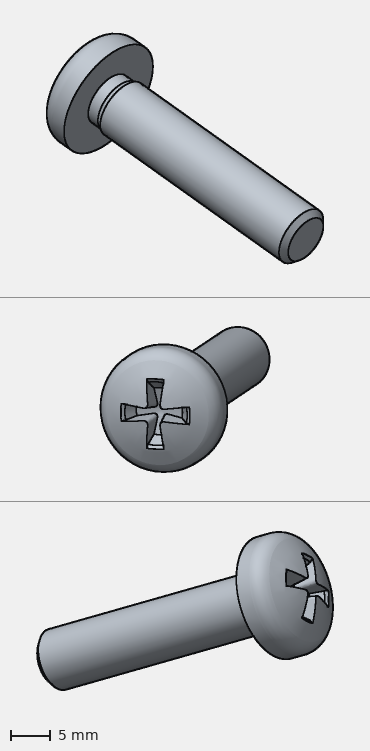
import cadquery as cq
import math

head_diameter = 16.0
head_height = 5.98
dome_radius = 13.5
shoulder_radius = 2.55
neck_diameter = 7.33
neck_length = 1.7
neck_cone_length = 0.75
shank_diameter = 8.0
tip_chamfer = 0.8
overall_length = 40.95

recess_reach = 4.5
recess_lip_radius = 4.1
recess_floor_radius = 3.03
recess_lip_depth = 1.05
recess_floor_depth = 2.65
recess_center_depth = 3.48
arm_tip_half_width = 1.23
arm_root_half_width = 0.75
arm_corner_radius = 0.5
wall_draft = 7.0

apex_rise = 0.06
head_crest_x = -head_height
apex_x = head_crest_x - apex_rise
tip_x = overall_length - head_height


def screw_body():
    """Revolve the half profile; the shoulder arc is tangent to the dome and the rim."""
    head_radius = head_diameter / 2
    neck_radius = neck_diameter / 2
    shank_radius = shank_diameter / 2
    dome_center_x = apex_x + dome_radius
    shoulder_center_r = head_radius - shoulder_radius
    center_distance = dome_radius - shoulder_radius
    meet_angle = math.asin(shoulder_center_r / center_distance)
    shoulder_center_x = dome_center_x - center_distance * math.cos(meet_angle)
    shoulder_mid_angle = (meet_angle + math.pi / 2) / 2

    def arc_point(center_x, center_r, radius, angle):
        return (center_x - radius * math.cos(angle), center_r + radius * math.sin(angle))

    dome_middle = arc_point(dome_center_x, 0, dome_radius, meet_angle / 2)
    dome_edge = arc_point(dome_center_x, 0, dome_radius, meet_angle)
    shoulder_middle = arc_point(shoulder_center_x, shoulder_center_r, shoulder_radius, shoulder_mid_angle)
    profile = (
        cq.Workplane("XY")
        .moveTo(apex_x, 0)
        .threePointArc(dome_middle, dome_edge)
        .threePointArc(shoulder_middle, (shoulder_center_x, head_radius))
        .lineTo(0, head_radius)
        .lineTo(0, neck_radius)
        .lineTo(neck_length, neck_radius)
        .lineTo(neck_length + neck_cone_length, shank_radius)
        .lineTo(tip_x - tip_chamfer, shank_radius)
        .lineTo(tip_x, shank_radius - tip_chamfer)
        .lineTo(tip_x, 0)
        .close()
    )
    return profile.revolve(360, (0, 0, 0), (1, 0, 0))


def cross_points(inset):
    """Corners of a cross of four flared arms, its flanks moved inward by the inset."""
    tip = arm_tip_half_width - inset
    root = arm_root_half_width - inset
    points = []
    for quarter in range(4):
        cosine = round(math.cos(quarter * math.pi / 2))
        sine = round(math.sin(quarter * math.pi / 2))
        for along, across in ((recess_reach, -tip), (recess_reach, tip), (root, root)):
            points.append((along * cosine - across * sine, along * sine + across * cosine))
    return points


def cross_prism():
    """Four flared arms, narrowing with depth, with rounded corners between them."""
    depth = recess_center_depth + apex_rise
    prism = (
        cq.Workplane("YZ", origin=(apex_x, 0, 0))
        .polyline(cross_points(0))
        .close()
        .workplane(offset=depth)
        .polyline(cross_points(depth * math.tan(math.radians(wall_draft))))
        .close()
        .loft(ruled=True)
    )
    inner_corners = cq.selectors.BoxSelector(
        (apex_x, -recess_floor_radius / 2, -recess_floor_radius / 2),
        (apex_x + depth, recess_floor_radius / 2, recess_floor_radius / 2),
    )
    return prism.edges("not #X").edges(inner_corners).fillet(arm_corner_radius)


def recess_envelope():
    """Round limit of the recess: lip, steep end walls and a conical floor."""
    return (
        cq.Workplane("XY")
        .moveTo(apex_x, 0)
        .lineTo(apex_x, recess_reach + arm_tip_half_width)
        .lineTo(head_crest_x + recess_lip_depth, recess_lip_radius)
        .lineTo(head_crest_x + recess_floor_depth, recess_floor_radius)
        .lineTo(head_crest_x + recess_center_depth, 0)
        .close()
        .revolve(360, (0, 0, 0), (1, 0, 0))
    )


recess = cross_prism().intersect(recess_envelope())
result = screw_body().cut(recess)